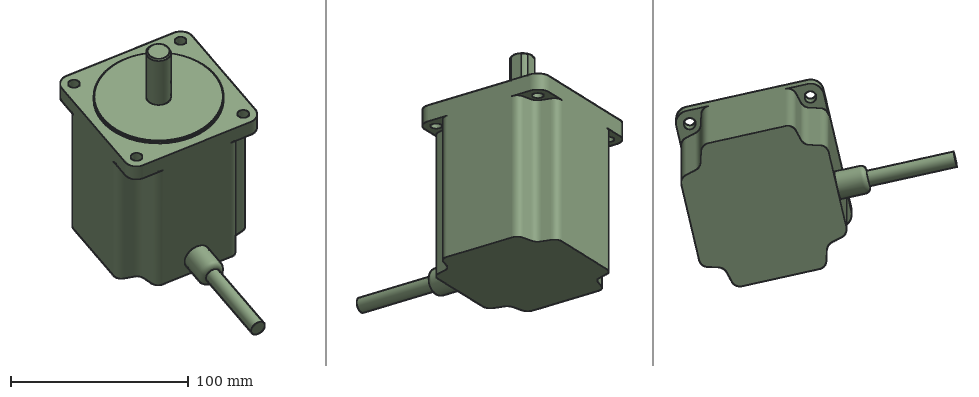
import cadquery as cq
import math

overall_length = 153.0
overall_height = 135.0

flange_width = 85.0
flange_thickness = 10.1
flange_top = 98.2
flange_corner_radius = 7.5
bolt_spacing = 69.6
bolt_hole_diameter = 6.6

notch_width = 16.2
notch_taper = 15.0
notch_outer_radius = 5.2
notch_inner_radius = 5.7

pilot_diameter = 73.5
pilot_height = 1.8
pilot_chamfer = 0.6

shaft_diameter = 14.0
shaft_chamfer = 0.9
flat_depth = 0.9
flat_length = 24.8

cable_height = 10.7
cable_diameter = 9.0
gland_diameter = 16.0
gland_length = 17.7
gland_fillet = 3.2

half_width = flange_width / 2
flange_bottom = flange_top - flange_thickness
pilot_top = flange_top + pilot_height


def make_body():
    notch_depth = notch_width / (1 + math.tan(math.radians(notch_taper)))
    mouth = half_width - notch_width
    root = half_width - notch_depth
    body = cq.Workplane("XY").rect(flange_width, flange_width).extrude(flange_bottom)
    mouth_points = []
    root_points = []
    for sx in (-1, 1):
        for sy in (-1, 1):
            corner = (sx * half_width, sy * half_width)
            x_mouth = (sx * mouth, sy * half_width)
            y_mouth = (sx * half_width, sy * mouth)
            notch_root = (sx * root, sy * root)
            notch = cq.Workplane("XY").polyline([corner, x_mouth, notch_root, y_mouth]).close()
            body = body.cut(notch.extrude(flange_bottom))
            mouth_points += [x_mouth, y_mouth]
            root_points.append(notch_root)
    body = round_vertical_edges(body, mouth_points, notch_outer_radius)
    return round_vertical_edges(body, root_points, notch_inner_radius)


def round_vertical_edges(solid, points, radius):
    mid_height = flange_bottom / 2
    for x, y in points:
        nearest = cq.selectors.NearestToPointSelector((x, y, mid_height))
        solid = solid.edges("|Z").edges(nearest).fillet(radius)
    return solid


def make_flange():
    flange = cq.Workplane("XY").workplane(offset=flange_bottom)
    flange = flange.rect(flange_width, flange_width).extrude(flange_thickness)
    flange = flange.edges("|Z").fillet(flange_corner_radius)
    flange = flange.faces(">Z").workplane().rect(bolt_spacing, bolt_spacing, forConstruction=True)
    return flange.vertices().hole(bolt_hole_diameter)


def make_pilot():
    pilot = cq.Workplane("XY").workplane(offset=flange_top)
    pilot = pilot.circle(pilot_diameter / 2).extrude(pilot_height)
    return pilot.faces(">Z").edges().chamfer(pilot_chamfer)


def make_shaft():
    shaft = cq.Workplane("XY").workplane(offset=pilot_top)
    shaft = shaft.circle(shaft_diameter / 2).extrude(overall_height - pilot_top)
    shaft = shaft.faces(">Z").edges().chamfer(shaft_chamfer)
    flat_centre = shaft_diameter - flat_depth
    cutter = cq.Workplane("XY").workplane(offset=overall_height - flat_length)
    for x, y in ((-flat_centre, 0), (0, flat_centre)):
        block = cutter.center(x, y).rect(shaft_diameter, shaft_diameter).extrude(flat_length)
        shaft = shaft.cut(block)
    return shaft


def make_cable():
    base = cq.Workplane("YZ", origin=(half_width, 0, cable_height))
    gland = base.circle(gland_diameter / 2).extrude(gland_length)
    gland = gland.faces(">X").edges().fillet(gland_fillet)
    cable = base.circle(cable_diameter / 2).extrude(overall_length - flange_width)
    return gland.union(cable)


result = make_body().union(make_flange()).union(make_pilot())
result = result.union(make_shaft()).union(make_cable())